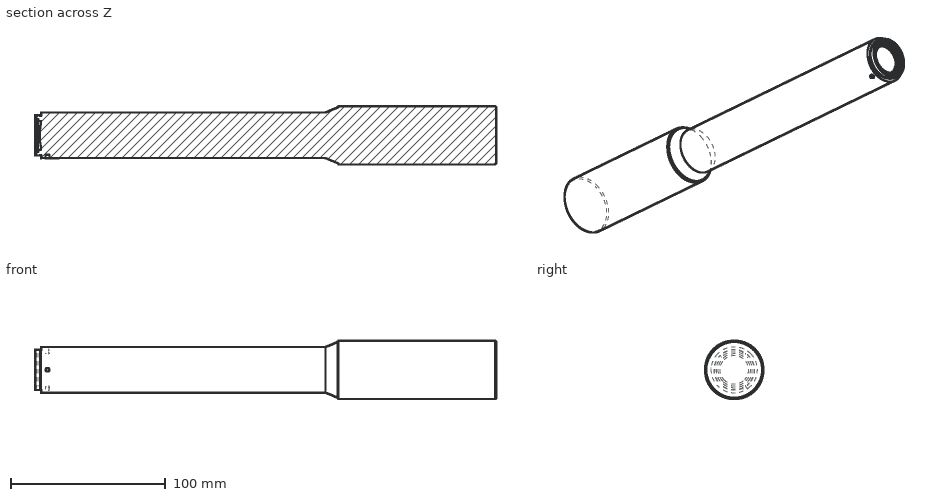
import cadquery as cq
import math

length = 298.7
groove_start = 3.3
shoulder_x = 4.0
ring_end = 10.8
sleeve_end = 63.0
cone_start = 188.2
head_start = 195.5

neck_radius = 13.0
groove_radius = 12.8
body_radius = 15.0
head_radius = 38.0 / 2
head_chamfer = 1.0

mouth_radius = 11.5
mouth_depth = 1.0
bore_radius = 10.5
bore_depth = 2.0
lens_radius = 9.3
lens_rim_depth = 4.0
lens_rise = 1.0

screw_count = 3
screw_x = 8.0
screw_radius = 1.2
screw_depth = 2.5


def turned_body():
    """Revolve the stepped half-profile, with flush sections meeting end to end."""
    dome_radius = (lens_radius**2 + lens_rise**2) / (2 * lens_rise)
    lens_mid_radius = lens_radius / 2
    dome_center = lens_rim_depth - lens_rise + dome_radius
    lens_mid_depth = dome_center - math.sqrt(dome_radius**2 - lens_mid_radius**2)
    profile = (
        cq.Workplane("XY")
        .moveTo(lens_rim_depth - lens_rise, 0)
        .threePointArc(
            (lens_mid_depth, lens_mid_radius),
            (lens_rim_depth, lens_radius),
        )
        .lineTo(bore_depth, lens_radius)
        .lineTo(bore_depth, bore_radius)
        .lineTo(mouth_depth, bore_radius)
        .lineTo(mouth_depth, mouth_radius)
        .lineTo(0, mouth_radius)
        .lineTo(0, neck_radius)
        .lineTo(groove_start, neck_radius)
        .lineTo(groove_start, groove_radius)
        .lineTo(shoulder_x, groove_radius)
        .lineTo(shoulder_x, body_radius)
        .lineTo(ring_end, body_radius)
        .lineTo(sleeve_end, body_radius)
        .lineTo(cone_start, body_radius)
        .lineTo(head_start, head_radius - head_chamfer)
        .lineTo(head_start + head_chamfer, head_radius)
        .lineTo(length - head_chamfer, head_radius)
        .lineTo(length, head_radius - head_chamfer)
        .lineTo(length, 0)
        .close()
    )
    return profile.revolve(360, (0, 0, 0), (1, 0, 0))


def screw_hole(angle):
    """Blind radial hole, turned about X from the -Y direction."""
    hole = (
        cq.Workplane("XZ", origin=(screw_x, -body_radius + screw_depth, 0))
        .circle(screw_radius)
        .extrude(2 * screw_depth)
    )
    return hole.rotate((0, 0, 0), (1, 0, 0), angle)


result = turned_body()
for index in range(screw_count):
    result = result.cut(screw_hole(index * 360 / screw_count))